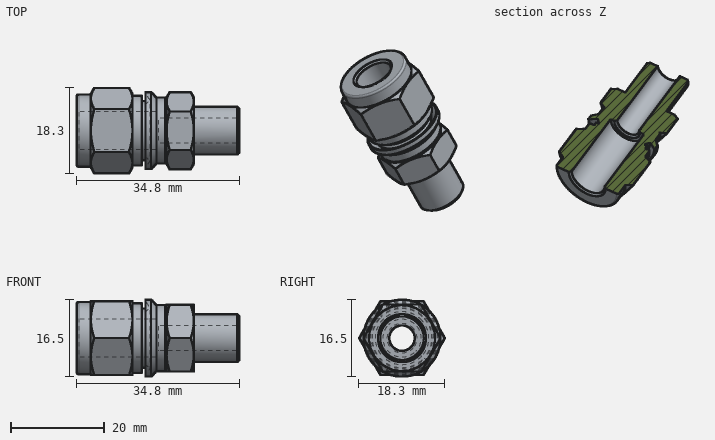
import cadquery as cq
import math

NUT_HEX_START = 3.0
NUT_HEX_END = 11.95
COLLAR_END = 13.98
FLANGE_START = 14.67
NECK_END = 14.78
FLANGE_END = 15.92
CONE_END = 17.05
BODY_HEX_START = 19.2
BODY_HEX_END = 25.07
LENGTH = 34.77

NUT_NOSE_DIA = 15.5
COLLAR_DIA = 15.02
NECK_DIA = 12.7
CORE_DIA = 11.4
FLARE_DIA = 12.95
FLANGE_DIA = 16.5
DISH_MOUTH_DIA = 16.1
SHOULDER_DIA = 14.2
TUBE_DIA = 10.3

NUT_HEX_CORNERS = 18.32
NUT_HEX_FACE_DIA = 15.65
BODY_HEX_CORNERS = 16.5
BODY_HEX_FACE_DIA = 14.1
HEX_BEVEL_ANGLE = math.radians(30)

NOSE_FILLET = 0.45
COLLAR_FILLET = 0.3
SHOULDER_CHAMFER = 0.3
TUBE_CHAMFER = 0.5

DISH_DEPTH = 1.0

SOCKET_DIA = 8.15
SOCKET_DEPTH = 17.0
SOCKET_CHAMFER = 0.5
BORE_DIA = 5.4
BORE_MOUTH_DIA = 6.35


def cylinder(diameter, start, end):
    """Round bar along X between two stations."""
    return cq.Workplane("YZ").workplane(offset=start).circle(diameter / 2).extrude(end - start)


def cone(start_dia, end_dia, start, end):
    """Truncated cone along X between two stations."""
    profile = [(start, 0), (start, start_dia / 2), (end, end_dia / 2), (end, 0)]
    return cq.Workplane("XY").polyline(profile).close().revolve(360, (0, 0, 0), (1, 0, 0))


def beveled_hex(corners, face_dia, start, end):
    """Hexagonal bar whose corners are turned off conically at both ends."""
    prism = cq.Workplane("YZ").workplane(offset=start).polygon(6, corners).extrude(end - start)
    bevel_length = (corners - face_dia) / 2 * math.tan(HEX_BEVEL_ANGLE)
    envelope = (
        cone(face_dia, corners, start, start + bevel_length)
        .union(cylinder(corners, start + bevel_length, end - bevel_length))
        .union(cone(corners, face_dia, end - bevel_length, end))
    )
    return prism.intersect(envelope)


def make_nut():
    nose = cylinder(NUT_NOSE_DIA, 0, NUT_HEX_START).faces("<X").edges().fillet(NOSE_FILLET)
    hexagon = beveled_hex(NUT_HEX_CORNERS, NUT_HEX_FACE_DIA, NUT_HEX_START, NUT_HEX_END)
    collar = cylinder(COLLAR_DIA, NUT_HEX_END, COLLAR_END).faces(">X").edges().fillet(COLLAR_FILLET)
    return nose.union(hexagon).union(collar)


def make_body():
    flange = cylinder(FLANGE_DIA, FLANGE_START, FLANGE_END)
    flange_cone = cone(FLANGE_DIA, SHOULDER_DIA, FLANGE_END, CONE_END)
    dish = cone(DISH_MOUTH_DIA, FLARE_DIA, FLANGE_START, FLANGE_START + DISH_DEPTH)
    flange = flange.union(flange_cone).cut(dish)
    neck = cylinder(NECK_DIA, COLLAR_END, NECK_END)
    flare = cone(CORE_DIA, FLARE_DIA, NECK_END, FLANGE_START + DISH_DEPTH)
    shoulder = cylinder(SHOULDER_DIA, CONE_END, BODY_HEX_START)
    shoulder = shoulder.faces(">X").edges().chamfer(SHOULDER_CHAMFER)
    hexagon = beveled_hex(BODY_HEX_CORNERS, BODY_HEX_FACE_DIA, BODY_HEX_START, BODY_HEX_END)
    tube = cylinder(TUBE_DIA, BODY_HEX_END, LENGTH).faces(">X").edges().chamfer(TUBE_CHAMFER)
    return neck.union(flare).union(flange).union(shoulder).union(hexagon).union(tube)


def make_bores():
    socket = cylinder(SOCKET_DIA, 0, SOCKET_DEPTH)
    socket_mouth = cone(SOCKET_DIA + 2 * SOCKET_CHAMFER, SOCKET_DIA, 0, SOCKET_CHAMFER)
    bore = cylinder(BORE_DIA, 0, LENGTH)
    bore_mouth_depth = (BORE_MOUTH_DIA - BORE_DIA) / 2
    bore_mouth = cone(BORE_MOUTH_DIA, BORE_DIA, SOCKET_DEPTH, SOCKET_DEPTH + bore_mouth_depth)
    return socket.union(socket_mouth).union(bore).union(bore_mouth)


result = make_nut().union(make_body()).cut(make_bores())